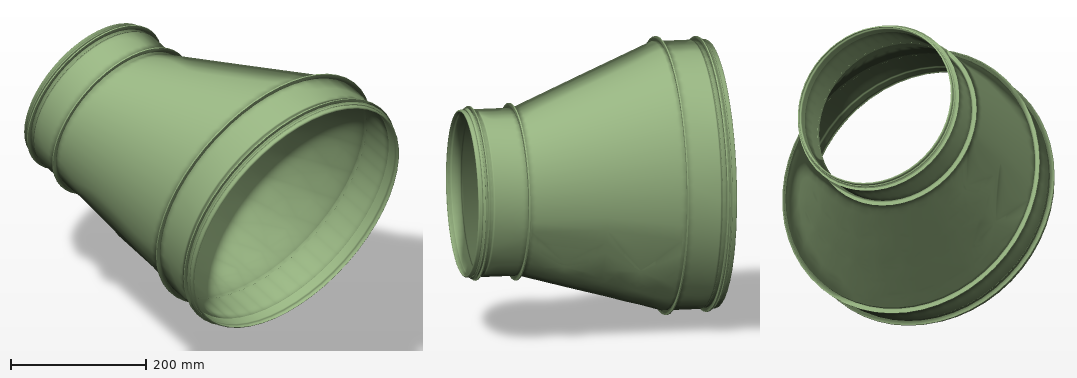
import cadquery as cq


total_length = 390.0
small_diameter = 249.0
large_diameter = 399.0
sheet = 0.6

flange_start = 75.0
flange_height = 7.25
hem_depth = 2.5
neck_end = 81.0

groove_depth = 2.27
bend_length = 4.0
front_bend_start = 5.0
groove_end = 21.0

band_thickness = 0.6
shoulder_height = 1.5
tall_lip_start = 14.0
tall_lip_width = 1.5
tall_lip_height = 5.15
tall_lip_taper = 0.2
slanted_lip_front = 7.0
slanted_lip_nose = 7.5
slanted_lip_nose_height = 1.0
slanted_lip_step = 9.0
slanted_lip_step_height = 1.45
slanted_lip_tip = 10.5
slanted_lip_height = 2.7
slanted_lip_root = 11.0

small_radius = small_diameter / 2
large_radius = large_diameter / 2
large_center_y = 0
small_center_y = small_radius - large_radius
groove_start = front_bend_start + bend_length
rear_bend_end = groove_end + bend_length
seam_plane = flange_start + sheet
hem_start = seam_plane + sheet
hem_end = hem_start + sheet
inner_flange_height = flange_height - sheet

small_end = (0, 1, small_center_y, small_radius)
large_end = (total_length, -1, large_center_y, large_radius)
ends = [small_end, large_end]


def section_point(end, depth, rise):
    """Point on the -Y side of an end: depth in from the open edge, rise above the wall."""
    open_x, inward, center_y, radius = end
    return (open_x + inward * depth, center_y - radius - rise)


def turn(end, section):
    """Revolve a closed section about the axis of an end."""
    center_y = end[2]
    return section.close().revolve(360, (0, center_y), (1, center_y))


def s_bend(section, end, start, start_rise, finish, finish_rise):
    """Add two equal tangent arcs that shift the wall between two radii."""
    middle = ((start + finish) / 2, (start_rise + finish_rise) / 2)
    run = middle[0] - start
    rise = middle[1] - start_rise
    bend_radius = (run**2 + rise**2) / (2 * abs(rise))
    sag = bend_radius - (bend_radius**2 - (run / 2) ** 2) ** 0.5
    if rise < 0:
        sag = -sag
    return (
        section
        .threePointArc(
            section_point(end, start + run / 2, start_rise + sag),
            section_point(end, *middle),
        )
        .threePointArc(
            section_point(end, finish - run / 2, finish_rise - sag),
            section_point(end, finish, finish_rise),
        )
    )


def make_collar(end):
    """Collar with a curled open edge, a gasket groove and a flange folded over at its rim."""
    def at(depth, rise):
        return section_point(end, depth, rise)

    curl = groove_depth
    inner_curl = curl - sheet
    diagonal = 0.5**0.5

    section = cq.Workplane("XY").moveTo(*at(0, -curl))
    section = section.threePointArc(at(curl * (1 - diagonal), -curl * (1 - diagonal)), at(curl, 0))
    section = section.lineTo(*at(front_bend_start, 0))
    section = s_bend(section, end, front_bend_start, 0, groove_start, -groove_depth)
    section = section.lineTo(*at(groove_end, -groove_depth))
    section = s_bend(section, end, groove_end, -groove_depth, rear_bend_end, 0)
    section = (
        section
        .lineTo(*at(flange_start, 0))
        .lineTo(*at(flange_start, flange_height))
        .lineTo(*at(hem_end, flange_height))
        .lineTo(*at(hem_end, flange_height - hem_depth))
        .lineTo(*at(hem_start, flange_height - hem_depth))
        .lineTo(*at(hem_start, inner_flange_height))
        .lineTo(*at(seam_plane, inner_flange_height))
        .lineTo(*at(seam_plane, -sheet))
    )

    floor = -groove_depth - sheet
    section = section.lineTo(*at(rear_bend_end, -sheet))
    section = s_bend(section, end, rear_bend_end, -sheet, groove_end, floor)
    section = section.lineTo(*at(groove_start, floor))
    section = s_bend(section, end, groove_start, floor, front_bend_start, -sheet)
    section = (
        section
        .lineTo(*at(curl, -sheet))
        .threePointArc(
            at(curl - inner_curl * diagonal, -curl + inner_curl * diagonal),
            at(sheet, -curl),
        )
    )
    return turn(end, section)


def make_gasket(end):
    """Rubber band that fills the groove floor and carries a slanted and a tall lip."""
    floor = -groove_depth
    shoulder = floor + shoulder_height
    tall_lip_end = tall_lip_start + tall_lip_width
    outline = [
        (groove_start, floor),
        (groove_start, shoulder),
        (slanted_lip_front, 0),
        (slanted_lip_nose, slanted_lip_nose_height),
        (slanted_lip_step, slanted_lip_step_height),
        (slanted_lip_tip, slanted_lip_height),
        (slanted_lip_root, shoulder),
        (tall_lip_start, shoulder),
        (tall_lip_start, tall_lip_height),
        (tall_lip_end, tall_lip_height - tall_lip_taper),
        (tall_lip_end, floor + band_thickness),
        (groove_end, floor + band_thickness),
        (groove_end, floor),
    ]
    points = [section_point(end, depth, rise) for depth, rise in outline]
    return turn(end, cq.Workplane("XY").polyline(points))


def end_disc(end, start, finish, rise):
    """Solid disc about the axis of an end, between two depths."""
    open_x, inward, center_y, radius = end
    return (
        cq.Workplane("YZ", origin=(open_x + inward * start, center_y, 0))
        .circle(radius + rise)
        .extrude(inward * (finish - start))
    )


def transition_core(rise):
    """Oblique cone with a straight neck at each end, grown radially by rise."""
    cone_length = total_length - 2 * neck_end
    core = (
        cq.Workplane("YZ", origin=(neck_end, 0, 0))
        .center(small_center_y, 0)
        .circle(small_radius + rise)
        .workplane(offset=cone_length)
        .center(large_center_y - small_center_y, 0)
        .circle(large_radius + rise)
        .loft(ruled=True)
    )
    for end in ends:
        core = core.union(end_disc(end, seam_plane, neck_end, rise))
    return core


def make_transition():
    """Hollow eccentric cone with a flange at each end."""
    outside = transition_core(0)
    for end in ends:
        flange = end_disc(end, seam_plane, hem_start, inner_flange_height)
        outside = outside.union(flange)
    return outside.cut(transition_core(-sheet)).solids()


transition = make_transition()
collars = [make_collar(end) for end in ends]
gaskets = [make_gasket(end) for end in ends]

bodies = [transition, *collars, *gaskets]
result = cq.Compound.makeCompound([body.val() for body in bodies])